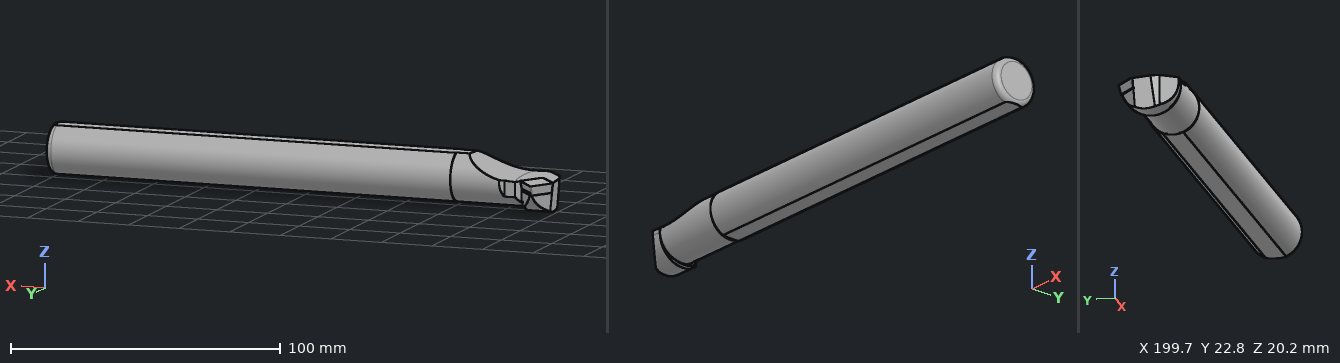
import cadquery as cq
import math

length = 199.7
shank_radius = 10.0
flat_height = 9.2
shank_end_fillet = 2.4
neck_radius = 9.8
neck_offset = 0.1
neck_end = 39.3
head_radius = 11.0
head_offset = 1.0
head_length = 11.8
head_rear_chamfer = 0.8

rake_angle = 4.3
rake_height = 1.2

gouge_axis_x = -14.8
gouge_axis_y = 1.4
gouge_floor_radius = 30.0
gouge_rim_radius = 26.0
gouge_rim_angle = 60.0

insert_side = 9.4
insert_nose_radius = 0.4
insert_thickness = 3.8
insert_relief = 7.0
nose_loss = insert_nose_radius * (math.sqrt(2) - 1)
insert_reach = insert_side / math.sqrt(2) - nose_loss
insert_center_x = insert_reach
insert_tip_y = 12.8
insert_center_y = insert_tip_y - insert_reach

front_face_x = 0.1
bevel_start_y = -1.0
chamfer_start = (1.2, -4.2)
front_relief = 7.0
bevel_relief = 4.4
chamfer_relief = 3.5
seat_inset = 0.4

clearance_flat_y = 8.2
clearance_flat_end = 18.5
clearance_runout = 1.5

OVERSIZE = 60.0

rake_plane = cq.Plane(origin=(0, 0, rake_height)).rotated((-rake_angle, 0, 0))


def cylinder_along_x(radius, start, end):
    return cq.Workplane("YZ", origin=(start, 0, 0)).circle(radius).extrude(end - start)


def make_blank():
    """Shank, neck and enlarged head before the cuts."""
    shank = cylinder_along_x(shank_radius, neck_end, length)
    shank = shank.faces(">X").edges().fillet(shank_end_fillet)
    lower_flat = cq.Workplane("XY").box(length, OVERSIZE, OVERSIZE, centered=(False, True, False))
    lower_flat = lower_flat.translate((0, 0, -flat_height - OVERSIZE))
    upper_flat = lower_flat.rotate((0, 0, 0), (1, 0, 0), 180)
    neck = cylinder_along_x(neck_radius, 0, neck_end).translate((0, -neck_offset, 0))
    bar = shank.cut(lower_flat).union(neck).cut(upper_flat)
    head = (
        cq.Workplane("YZ")
        .moveTo(head_offset - head_radius, 0)
        .threePointArc((head_offset, -head_radius), (head_offset + head_radius, 0))
        .lineTo(head_offset + head_radius, flat_height / 2)
        .lineTo(head_offset - head_radius, flat_height / 2)
        .close()
        .extrude(head_length)
        .faces(">X")
        .edges("%CIRCLE")
        .chamfer(head_rear_chamfer)
    )
    return bar.union(head)


def make_gouge():
    """Everything above the rake plane, bounded by the concave rim."""
    angle = math.radians(gouge_rim_angle)

    def rim_point(swing):
        return (
            gouge_floor_radius + gouge_rim_radius * math.sin(swing),
            gouge_rim_radius * (1 - math.cos(swing)),
        )

    top = rim_point(angle)
    profile_plane = cq.Plane(
        origin=rake_plane.toWorldCoords((gouge_axis_x, gouge_axis_y, 0)),
        xDir=rake_plane.xDir,
        normal=-rake_plane.yDir,
    )
    return (
        cq.Workplane(profile_plane)
        .lineTo(gouge_floor_radius, 0)
        .threePointArc(rim_point(angle / 2), top)
        .lineTo(0, top[1])
        .close()
        .revolve(360, (0, 0, 0), (0, 1, 0))
    )


def make_flank_cut(point, heading, relief):
    """Block that trims the head outside a face.

    The face passes through `point` at rake height, its outward normal has the
    plan angle `heading`, and it leans inward going down by `relief` degrees.
    """
    block = cq.Workplane("XY").box(OVERSIZE, OVERSIZE, OVERSIZE, centered=(False, True, True))
    return (
        block.rotate((0, 0, 0), (0, 1, 0), relief)
        .rotate((0, 0, 0), (0, 0, 1), heading)
        .translate((point[0], point[1], rake_height))
    )


def make_head_flanks():
    bevel_start = (front_face_x, bevel_start_y)
    bevel_run = chamfer_start[0] - bevel_start[0]
    bevel_drop = bevel_start[1] - chamfer_start[1]
    bevel_heading = 180 + math.degrees(math.atan2(bevel_run, bevel_drop))
    cutting_edge = (seat_inset * math.sqrt(2), insert_center_y)
    return [
        make_flank_cut(bevel_start, 180, front_relief),
        make_flank_cut(bevel_start, bevel_heading, bevel_relief),
        make_flank_cut(chamfer_start, 225, chamfer_relief),
        make_flank_cut(cutting_edge, 135, insert_relief),
    ]


def make_rear_clearance():
    """Notch behind the insert that runs into a flat along the neck."""
    notch_x = 2 * insert_reach - seat_inset * math.sqrt(2)
    notch_depth = clearance_flat_y - insert_center_y
    return (
        cq.Workplane("XY", origin=(0, 0, -OVERSIZE / 2))
        .moveTo(notch_x, insert_center_y)
        .lineTo(notch_x + notch_depth, clearance_flat_y)
        .lineTo(clearance_flat_end, clearance_flat_y)
        .lineTo(clearance_flat_end + clearance_runout, clearance_flat_y + clearance_runout)
        .lineTo(clearance_flat_end + clearance_runout, OVERSIZE)
        .lineTo(notch_x - OVERSIZE, insert_center_y + OVERSIZE)
        .close()
        .extrude(OVERSIZE)
    )


def make_insert():
    blank = (
        cq.Workplane("XY")
        .rect(insert_side, insert_side)
        .extrude(-insert_thickness, taper=insert_relief)
        .edges("not(<Z or >Z)")
        .fillet(insert_nose_radius)
    )
    on_corner = blank.rotate((0, 0, 0), (0, 0, 1), 45).translate((insert_center_x, insert_center_y, 0))
    return cq.Workplane(on_corner.val().moved(cq.Location(rake_plane)))


def make_holder(insert):
    holder = make_blank().cut(make_gouge())
    for flank in make_head_flanks():
        holder = holder.cut(flank)
    return holder.cut(make_rear_clearance()).cut(insert)


insert = make_insert()
holder = make_holder(insert)

result = cq.Compound.makeCompound([*holder.solids().vals(), *insert.solids().vals()])